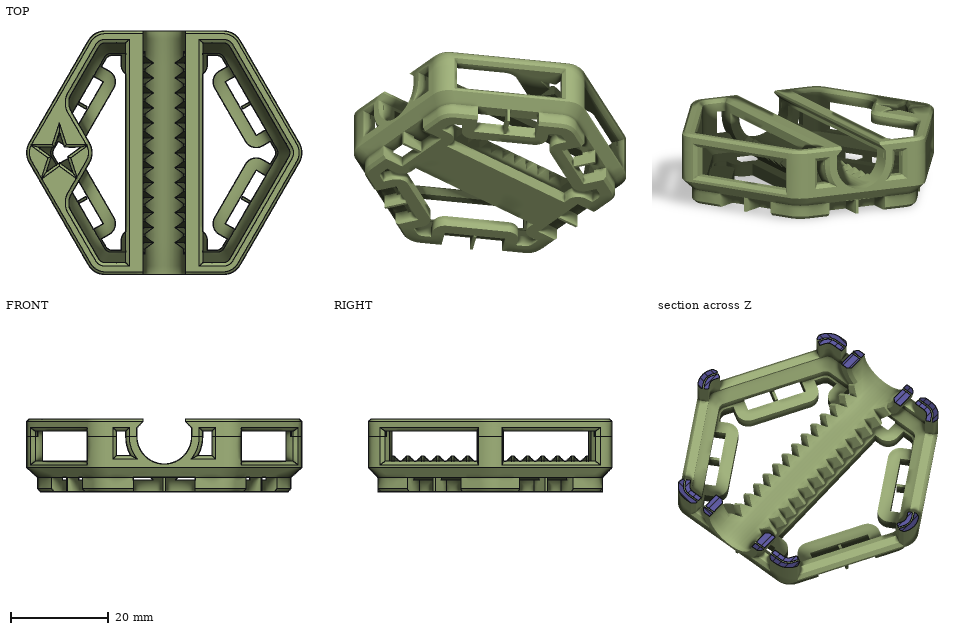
import cadquery as cq
import math

WIDTH = 56.5
APOTHEM = 25.0
HEIGHT = 15.0
FAR = 33.9
COS_30 = math.cos(math.radians(30))
CORNER_RADIUS = (APOTHEM / COS_30 - WIDTH / 2) / (1 / COS_30 - 1)
INNER_RADIUS = 1.6
SIDE_ANGLES = [60 * i for i in range(6)]
LONG_SIDE_ANGLES = [60, 120, 240, 300]

SEAM_Z = 11.3
DECK_Z = 12.45
LONG_SILL_Z = 6.25
END_SILL_Z = 7.45
WALL_BOTTOM_Z = 5.0
INNER_SLOPE_Z = 5.9
INNER_SLOPE_END_Z = 4.1
RING_TOP_Z = 2.45

WALL_INNER = 22.55
RING_OUTER = 23.05
TONGUE_OUTER = 23.6
SKIRT_INNER = 23.85
SLAB_INNER = 20.4
RING_INNER = 20.0
SLAB_Z = 2.95
RIM_CHAMFER = 0.55
POCKET_CHAMFER = 0.75
RING_CHAMFER = 0.6

WINDOW_BEVEL = 0.75
LONG_WINDOW_HALF = 10.9
END_WINDOW_X = 9.8

BORE_RADIUS = 5.6
TUBE_RADIUS = 7.9
LIP_HALF_GAP = 4.35
LIP_HEIGHT = 0.55
COLLAR_Y = 20.1
COLLAR_CHAMFER = 0.7

TOOTH_PITCH = 3.075
GROOVE_COUNT = 13
TOOTH_CREST = 0.5
GROOVE_DEPTH = 2.1

NOTCH_HALF = 6.3
NOTCH_FLOOR = 18.15
NOTCH_WALL = 2.55
RAIL_HALF = 5.05
FIN_THICKNESS = 0.55
FIN_TIP = 18.4

STAR_X = -21.5
STAR_Y = -0.3
STAR_RADIUS = 6.45
STAR_BEVEL = 0.55
PLATE_FILLET = 3.4


def hexagon(apothem, radius):
    return cq.Sketch().regularPolygon(apothem / COS_30, 6, 30).vertices().fillet(radius)


def hex_prism(apothem, radius, bottom, top):
    return cq.Workplane("XY", origin=(0, 0, bottom)).placeSketch(hexagon(apothem, radius)).extrude(top - bottom)


def hex_taper(bottom_apothem, top_apothem, radius, bottom, top):
    lower = hexagon(bottom_apothem, radius)
    upper = hexagon(top_apothem, radius).moved(cq.Location(cq.Vector(0, 0, top - bottom)))
    return cq.Workplane("XY", origin=(0, 0, bottom)).placeSketch(lower, upper).loft()


def block(x0, x1, y0, y1, z0, z1):
    return cq.Workplane("XY").box(x1 - x0, y1 - y0, z1 - z0, centered=False).translate((x0, y0, z0))


def turned(shape, angle):
    """Turn a shape made at the -Y side to another side of the hexagon."""
    return shape.rotate((0, 0, 0), (0, 0, 1), angle)


def bevelled_window(profile):
    """Window in the -Y wall, flared outward; profile draws the outline, enlarged by a given amount."""
    inner_y = WALL_INNER - 0.55
    opening = profile(cq.Workplane("XZ", origin=(0, -inner_y, 0)), 0).extrude(APOTHEM - inner_y)
    flare = profile(cq.Workplane("XZ", origin=(0, -APOTHEM, 0)), WINDOW_BEVEL).extrude(-WINDOW_BEVEL, taper=45)
    return opening.union(flare)


def long_window_outline(plane, growth):
    middle = (LONG_SILL_Z + DECK_Z) / 2
    width = 2 * (LONG_WINDOW_HALF + growth)
    return plane.center(0, middle).rect(width, DECK_Z - LONG_SILL_Z + 2 * growth)


def end_window_outline(plane, growth):
    """Rectangle with one side following the tube."""
    radius = TUBE_RADIUS - growth
    far_x = END_WINDOW_X + growth
    top_z = DECK_Z + growth
    sill_z = END_SILL_Z - growth
    low_angle = math.asin((SEAM_Z - sill_z) / radius)
    low_x = radius * math.cos(low_angle)
    middle = (radius * math.cos(low_angle / 2), SEAM_Z - radius * math.sin(low_angle / 2))
    return (
        plane.moveTo(far_x, sill_z)
        .lineTo(far_x, top_z)
        .lineTo(radius, top_z)
        .lineTo(radius, SEAM_Z)
        .threePointArc(middle, (low_x, sill_z))
        .close()
    )


def cut_windows(body):
    long_window = bevelled_window(long_window_outline)
    for angle in LONG_SIDE_ANGLES:
        body = body.cut(turned(long_window, angle))
    end_window = bevelled_window(end_window_outline)
    end_window = end_window.union(end_window.mirror("YZ"))
    for angle in (0, 180):
        body = body.cut(turned(end_window, angle))
    return body


def channel():
    """Bore open to the top, narrowed by the lips."""
    lip_z = HEIGHT - LIP_HEIGHT
    shoulder_z = lip_z - (BORE_RADIUS - LIP_HALF_GAP)
    return (
        cq.Workplane("XZ", origin=(0, FAR, 0))
        .moveTo(-BORE_RADIUS, SEAM_Z)
        .threePointArc((0, SEAM_Z - BORE_RADIUS), (BORE_RADIUS, SEAM_Z))
        .lineTo(BORE_RADIUS, shoulder_z)
        .lineTo(LIP_HALF_GAP, lip_z)
        .lineTo(LIP_HALF_GAP, HEIGHT)
        .lineTo(-LIP_HALF_GAP, HEIGHT)
        .lineTo(-LIP_HALF_GAP, lip_z)
        .lineTo(-BORE_RADIUS, shoulder_z)
        .close()
        .extrude(2 * FAR)
    )


def side_opening():
    """Space between the collars, above two 45 degree planes through the axle, with flared ends."""
    gap = block(-FAR, FAR, -COLLAR_Y, COLLAR_Y, 0, DECK_Z)
    for end in (-1, 1):
        plane = cq.Plane(origin=(0, end * COLLAR_Y, 0), xDir=(-end, 0, 0), normal=(0, end, 0))
        mouth = BORE_RADIUS + COLLAR_CHAMFER
        flare = (
            cq.Workplane(plane)
            .moveTo(-mouth, SEAM_Z)
            .threePointArc((0, SEAM_Z - mouth), (mouth, SEAM_Z))
            .lineTo(mouth, HEIGHT)
            .lineTo(-mouth, HEIGHT)
            .close()
            .extrude(COLLAR_CHAMFER, taper=45)
        )
        gap = gap.union(flare.intersect(block(-FAR, FAR, -FAR, FAR, 0, DECK_Z)))
    wedge = (
        cq.Workplane("XZ", origin=(0, FAR, 0))
        .polyline([(0, SEAM_Z), (FAR, SEAM_Z - FAR), (-FAR, SEAM_Z - FAR)])
        .close()
        .extrude(2 * FAR)
    )
    return gap.cut(wedge)


def tube():
    """Tube wall with a 45 degree pointed underside, flat at the ring."""
    tangent = TUBE_RADIUS / math.sqrt(2)
    foot = TUBE_RADIUS * math.sqrt(2) - (SEAM_Z - RING_TOP_Z)
    shoulder = (TUBE_RADIUS * math.cos(math.pi / 8), SEAM_Z - TUBE_RADIUS * math.sin(math.pi / 8))
    return (
        cq.Workplane("XZ", origin=(0, WALL_INNER + 0.55, 0))
        .moveTo(-foot, RING_TOP_Z)
        .lineTo(foot, RING_TOP_Z)
        .lineTo(tangent, SEAM_Z - tangent)
        .threePointArc(shoulder, (TUBE_RADIUS, SEAM_Z))
        .lineTo(TUBE_RADIUS, DECK_Z)
        .lineTo(-TUBE_RADIUS, DECK_Z)
        .lineTo(-TUBE_RADIUS, SEAM_Z)
        .threePointArc((-shoulder[0], shoulder[1]), (-tangent, SEAM_Z - tangent))
        .close()
        .extrude(2 * (WALL_INNER + 0.55))
        .cut(side_opening())
    )


def groove():
    """V groove running radially down the 45 degree edge on the +X side, centred on Y = 0."""
    half = (TOOTH_PITCH - TOOTH_CREST) / 2
    plane = cq.Plane(origin=(0, 0, SEAM_Z), xDir=(0, 1, 0), normal=(1, 0, -1))
    return cq.Workplane(plane).polyline([(-half, 0), (half, 0), (0, -GROOVE_DEPTH)]).close().extrude(2 * TUBE_RADIUS)


def cut_grooves(body):
    right = groove()
    left = right.mirror("YZ")
    for i in range(GROOVE_COUNT):
        y = (i - (GROOVE_COUNT - 1) / 2) * TOOTH_PITCH
        body = body.cut(right.translate((0, y, 0))).cut(left.translate((0, y, 0)))
    return body


def base_shell():
    """Lower part of the hexagonal wall, with a tongue on top and tapering inward to the ring."""
    body = hex_taper(RING_OUTER, APOTHEM, CORNER_RADIUS, SLAB_Z, WALL_BOTTOM_Z)
    body = body.union(hex_prism(APOTHEM, CORNER_RADIUS, WALL_BOTTOM_Z, SEAM_Z))
    body = body.union(tongue_prism(SEAM_Z))
    body = body.cut(hex_prism(WALL_INNER, INNER_RADIUS, INNER_SLOPE_Z, DECK_Z))
    body = body.cut(hex_taper(SLAB_INNER, WALL_INNER, INNER_RADIUS, INNER_SLOPE_END_Z, INNER_SLOPE_Z))
    return body.cut(hex_prism(SLAB_INNER, INNER_RADIUS, 0, INNER_SLOPE_END_Z))


def tongue_prism(bottom):
    """Space enclosed by the outside of the tongue, up to the deck."""
    return hex_prism(TONGUE_OUTER, CORNER_RADIUS - (APOTHEM - TONGUE_OUTER), bottom, DECK_Z)


def ring():
    """Hexagonal ring with a walled notch and a thin fin in every side, joined by a rail under the tube."""
    body = hex_prism(RING_OUTER, CORNER_RADIUS, 0, SLAB_Z).faces("<Z").edges().chamfer(RING_CHAMFER)
    body = body.cut(hex_prism(RING_INNER, INNER_RADIUS, 0, RING_TOP_Z))
    body = body.cut(hex_prism(SLAB_INNER, INNER_RADIUS, RING_TOP_Z, SLAB_Z))
    wall_half = NOTCH_HALF + NOTCH_WALL
    wall_edge = NOTCH_FLOOR - NOTCH_WALL
    notch_wall = block(-wall_half, wall_half, -RING_INNER - 0.55, -wall_edge, 0, RING_TOP_Z)
    notch_wall = notch_wall.edges("|Z and >Y").fillet(NOTCH_WALL)
    notch = block(-NOTCH_HALF, NOTCH_HALF, -FAR, -NOTCH_FLOOR, 0, SLAB_Z)
    fin_half = FIN_THICKNESS / 2
    fin = block(-fin_half, fin_half, -RING_OUTER, -FIN_TIP, 0, RING_TOP_Z)
    fin = fin.union(block(-fin_half, fin_half, -RING_OUTER, -SLAB_INNER, 0, SLAB_Z))
    body = body.union(block(-RAIL_HALF, RAIL_HALF, -NOTCH_FLOOR, NOTCH_FLOOR, 0, RING_TOP_Z))
    for angle in SIDE_ANGLES:
        body = body.union(turned(notch_wall, angle))
    for angle in SIDE_ANGLES:
        body = body.cut(turned(notch, angle)).union(turned(fin, angle))
    return body


def make_base():
    base_tube = cut_grooves(tube())
    for angle in (0, 180):
        gap = block(-NOTCH_HALF, NOTCH_HALF, -FAR, -NOTCH_FLOOR, 0, SLAB_Z)
        base_tube = base_tube.cut(turned(gap, angle))
    body = base_shell().union(base_tube).cut(channel())
    return cut_windows(body).union(ring())


def side_block(side, near_x, bottom):
    """Everything on one side of the channel beyond near_x, from a level up to the top."""
    body = block(near_x, FAR, -FAR, FAR, bottom, HEIGHT)
    return body if side > 0 else body.mirror("YZ")


def star_plate():
    """Mirror image of the left corner about the star."""
    return hex_prism(APOTHEM, CORNER_RADIUS, DECK_Z, HEIGHT).translate((2 * STAR_X, 0, 0))


def star_outline(plane, radius):
    inner = radius * math.cos(math.radians(72)) / math.cos(math.radians(36))
    points = []
    for i in range(10):
        angle = math.radians(90 + 36 * i)
        reach = inner if i % 2 else radius
        points.append((STAR_X + reach * math.cos(angle), STAR_Y + reach * math.sin(angle)))
    return plane.polyline(points).close()


def star_cut():
    """Star hole, wider at the top by a 45 degree bevel."""
    small = STAR_RADIUS - STAR_BEVEL / math.sin(math.radians(18))
    hole = star_outline(cq.Workplane("XY", origin=(0, 0, DECK_Z)), small).extrude(HEIGHT - DECK_Z)
    bevel = star_outline(cq.Workplane("XY", origin=(0, 0, HEIGHT - STAR_BEVEL)), small)
    bevel = star_outline(bevel.workplane(offset=STAR_BEVEL), STAR_RADIUS).loft(ruled=True)
    return hole.union(bevel)


def pocket(side):
    """Opening in the deck on one side of the channel; the left one stops at the star plate."""
    body = hex_prism(WALL_INNER, INNER_RADIUS, DECK_Z, HEIGHT)
    body = body.intersect(side_block(side, TUBE_RADIUS, DECK_Z))
    if side < 0:
        body = body.cut(star_plate())
        body = body.edges("|Z and <X").fillet(PLATE_FILLET)
    return body


def make_upper(side):
    """Upper rim on one side of the channel; side is -1 for left and 1 for right."""
    deck = hex_prism(APOTHEM, CORNER_RADIUS, DECK_Z, HEIGHT).faces(">Z").edges().chamfer(RIM_CHAMFER)
    deck = deck.cut(pocket(side))
    rim_edges = deck.faces(">Z").val().innerWires()[0].Edges()
    deck = cq.Workplane(deck.val().chamfer(POCKET_CHAMFER, None, rim_edges))
    if side < 0:
        deck = deck.cut(star_cut())
    skirt = hex_prism(APOTHEM, CORNER_RADIUS, SEAM_Z, DECK_Z)
    skirt = skirt.cut(hex_prism(SKIRT_INNER, CORNER_RADIUS - (APOTHEM - SKIRT_INNER), SEAM_Z, DECK_Z))
    body = deck.union(skirt).cut(channel()).intersect(side_block(side, 0, SEAM_Z))
    return cut_windows(body)


base = make_base()
upper_rims = [make_upper(side) for side in (-1, 1)]

result = cq.Compound.makeCompound([base.val(), *[rim.val() for rim in upper_rims]])